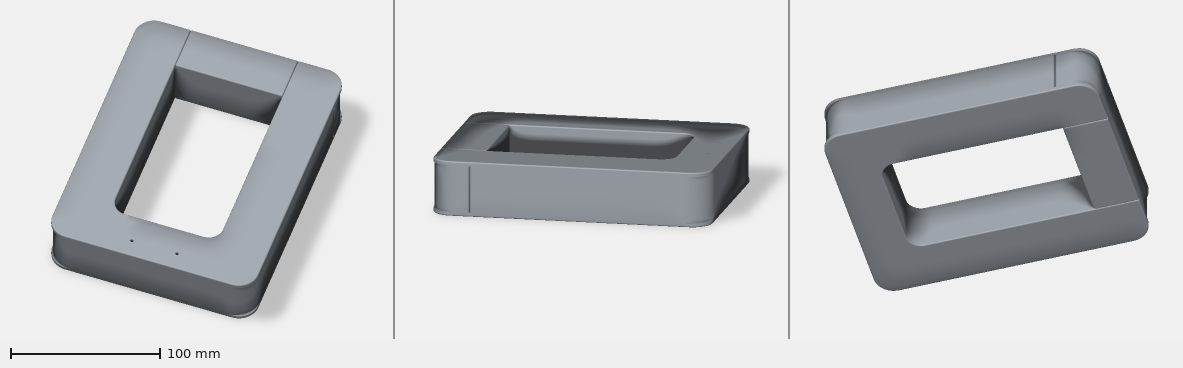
import cadquery as cq

WIDTH = 146.5
LENGTH = 190.7
HEIGHT = 37.5
LID_THICKNESS = 2.9
HALF_HEIGHT = HEIGHT / 2
WALL_HEIGHT = HALF_HEIGHT - LID_THICKNESS
BACK_Y = LENGTH / 2
FRONT_Y = -LENGTH / 2

LID_CORNER_RADIUS = 14.0
WALL_CORNER_RADIUS = 18.0
LID_EDGE_FILLET = 1.0

WINDOW_WIDTH = 76.3
WINDOW_CORNER_RADIUS = 10.3
FRONT_BAR_DEPTH = 31.5
WINDOW_FRONT_Y = FRONT_Y + FRONT_BAR_DEPTH

STEM_DEPTH = 31.5
STEM_FRONT_Y = BACK_Y - STEM_DEPTH
CROSSBAR_DEPTH = 27.0
CROSSBAR_FRONT_Y = BACK_Y - CROSSBAR_DEPTH
JOINT_FILLET = 1.7

HOLE_DIAMETER = 2.3
HOLE_SPACING = 32.0
HOLE_FRONT_OFFSET = 11.8


def rounded_plate(corner_radius, base_z, thickness):
    """Full-size rectangular plate with rounded vertical corners."""
    return (
        cq.Workplane("XY", origin=(0, 0, base_z))
        .rect(WIDTH, LENGTH)
        .extrude(thickness)
        .edges("|Z")
        .fillet(corner_radius)
    )


def window_cutter():
    """Window prism with two rounded front corners, running out through the back."""
    return (
        cq.Workplane("XY")
        .center(0, WINDOW_FRONT_Y)
        .rect(WINDOW_WIDTH, 2 * LENGTH)
        .extrude(HALF_HEIGHT)
        .translate((0, LENGTH, 0))
        .edges("|Z and <Y")
        .fillet(WINDOW_CORNER_RADIUS)
    )


def slab(width, front_y, back_y, base_z, thickness):
    """Rectangular slab centred on X between two Y positions."""
    return cq.Workplane("XY").box(
        width, back_y - front_y, thickness, centered=(True, False, False)
    ).translate((0, front_y, base_z))


def drill_lid_holes(lid):
    """Cut the two small holes through the lid thickness only."""
    drills = (
        cq.Workplane("XY", origin=(0, FRONT_Y + HOLE_FRONT_OFFSET, WALL_HEIGHT))
        .pushPoints([(-HOLE_SPACING / 2, 0), (HOLE_SPACING / 2, 0)])
        .circle(HOLE_DIAMETER / 2)
        .extrude(LID_THICKNESS)
    )
    return lid.cut(drills)


def make_frame_lid():
    """U-shaped lid with its top rim and the two corners at the window mouth rounded."""
    lid = rounded_plate(LID_CORNER_RADIUS, WALL_HEIGHT, LID_THICKNESS).cut(window_cutter())
    for side in (-1, 1):
        mouth_corner = cq.selectors.NearestToPointSelector(
            (side * WINDOW_WIDTH / 2, BACK_Y, HALF_HEIGHT - LID_THICKNESS / 2)
        )
        lid = lid.edges("|Z").edges(mouth_corner).fillet(LID_EDGE_FILLET)
    return lid.faces(">Z").edges().fillet(LID_EDGE_FILLET)


def make_frame_walls():
    """U-shaped walls below the lid, ending at the crossbar with rounded outer edges."""
    crossbar_space = slab(WIDTH, CROSSBAR_FRONT_Y, BACK_Y, 0, WALL_HEIGHT)
    walls = (
        rounded_plate(WALL_CORNER_RADIUS, 0, WALL_HEIGHT)
        .cut(window_cutter())
        .cut(crossbar_space)
    )
    return walls.edges("|Z and (<X or >X) and >Y").fillet(JOINT_FILLET)


def make_block_lid():
    """Lid over the stem, with its top rim and upright corners rounded."""
    lid = slab(WINDOW_WIDTH, STEM_FRONT_Y, BACK_Y, WALL_HEIGHT, LID_THICKNESS)
    return lid.edges("|Z").fillet(LID_EDGE_FILLET).faces(">Z").edges().fillet(LID_EDGE_FILLET)


def make_block_walls():
    """T-shaped walls: the stem in the window and the crossbar that forms the back corners."""
    stem = slab(WINDOW_WIDTH, STEM_FRONT_Y, BACK_Y, 0, WALL_HEIGHT)
    crossbar = (
        slab(WIDTH, CROSSBAR_FRONT_Y, BACK_Y, 0, WALL_HEIGHT)
        .edges("|Z and >Y")
        .fillet(WALL_CORNER_RADIUS)
        .edges("|Z and <Y")
        .fillet(JOINT_FILLET)
    )
    return crossbar.union(stem)


plain_lid = make_frame_lid()
frame_walls = make_frame_walls()
upper_frame = frame_walls.union(drill_lid_holes(plain_lid), clean=False)
lower_frame = frame_walls.union(plain_lid, clean=False).mirror("XY")
upper_block = make_block_walls().union(make_block_lid(), clean=False)
lower_block = upper_block.mirror("XY")

result = cq.Compound.makeCompound(
    [upper_frame.val(), lower_frame.val(), upper_block.val(), lower_block.val()]
)